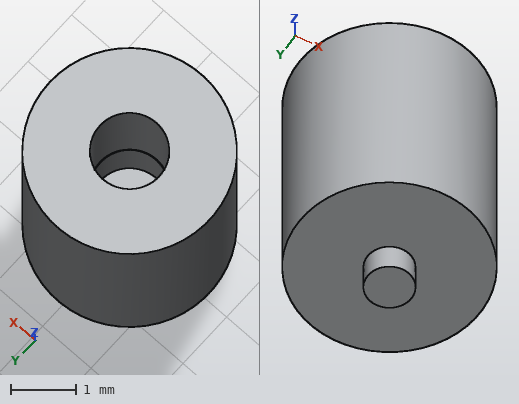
import cadquery as cq

total_height = 4.5
pin_length = 0.5
body_diameter = 3.3
pin_diameter = 0.8
upper_bore_diameter = 1.22
lower_bore_diameter = 1.2

body_height = total_height - pin_length
upper_bore_depth = body_height / 2
full_bore_depth = body_height * 3 / 4


def bore_cutter(diameter, depth):
    """Cylinder reaching down from the top face of the body."""
    return cq.Workplane("XY").workplane(offset=body_height).circle(diameter / 2).extrude(-depth)


body = cq.Workplane("XY").circle(body_diameter / 2).extrude(body_height)

body = body.cut(bore_cutter(upper_bore_diameter, upper_bore_depth))
body = body.cut(bore_cutter(lower_bore_diameter, full_bore_depth))

pin = cq.Workplane("XY").circle(pin_diameter / 2).extrude(-pin_length)

result = body.union(pin)